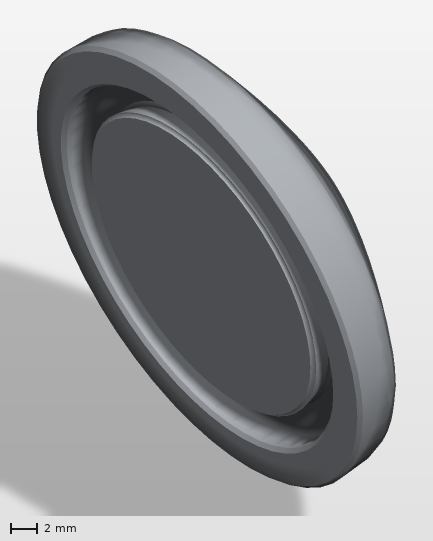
import cadquery as cq

outer_radius = 19.5
total_depth = 10.4
edge_chamfer = 0.3

shoulder_radius = 19.3
shoulder_height = 3.9
shoulder_fillet = 2.0

crown_radius = 7.15
dome_bulge = 0.27

groove_outer_radius = 15.98
pad_radius = 13.4
pad_neck_radius = 13.1
pad_fillet = 0.3
pad_recess = 0.4
groove_depth = 2.5
groove_floor_fillet = 0.5


def make_body():
    """Revolve the half section (radius, height) about the Y axis."""
    dome_start = cq.Vector(shoulder_radius, shoulder_height)
    dome_end = cq.Vector(crown_radius, total_depth)
    chord = dome_end - dome_start
    outward = cq.Vector(chord.y, -chord.x).normalized() * dome_bulge
    dome_middle = (dome_start + dome_end) * 0.5 + outward
    profile = (
        cq.Workplane("XY")
        .lineTo(outer_radius - edge_chamfer, 0)
        .lineTo(outer_radius, edge_chamfer)
        .lineTo(shoulder_radius, shoulder_height)
        .threePointArc((dome_middle.x, dome_middle.y), (dome_end.x, dome_end.y))
        .lineTo(0, total_depth)
        .close()
    )
    body = profile.revolve(360, (0, 0, 0), (0, 1, 0))
    pick_margin = 0.4
    shoulder_edge = cq.selectors.BoxSelector(
        (-outer_radius, shoulder_height - pick_margin, -outer_radius),
        (outer_radius, shoulder_height + pick_margin, outer_radius),
    )
    return body.edges("%CIRCLE").edges(shoulder_edge).fillet(shoulder_fillet)


def make_recess():
    """Recess cutter: chamfered mouth, rounded floor corners, undercut pad left in the middle."""
    section = (
        cq.Workplane("XY")
        .lineTo(0, pad_recess)
        .lineTo(pad_radius - pad_fillet, pad_recess)
        .radiusArc((pad_radius, pad_recess + pad_fillet), pad_fillet)
        .lineTo(pad_neck_radius, groove_depth - pad_fillet)
        .radiusArc((pad_neck_radius + pad_fillet, groove_depth), -pad_fillet)
        .lineTo(groove_outer_radius - groove_floor_fillet, groove_depth)
        .radiusArc((groove_outer_radius, groove_depth - groove_floor_fillet), groove_floor_fillet)
        .lineTo(groove_outer_radius, edge_chamfer)
        .lineTo(groove_outer_radius + edge_chamfer, 0)
        .close()
    )
    return section.revolve(360, (0, 0, 0), (0, 1, 0))


result = make_body().cut(make_recess())